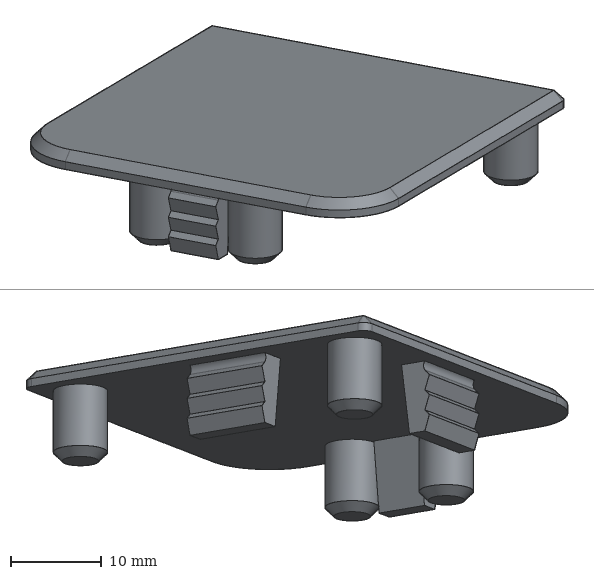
import cadquery as cq

plate_side = 45.5
total_height = 10.0
plate_thickness = 2.0
plate_chamfer = 1.1
front_corner_radius = 7.5
rear_corner_radius = 1.15
plate_bottom = total_height - plate_thickness

pin_diameter = 6.0
pin_chamfer = 1.0
pin_edge_offset = 18.15
front_pin_offset = 6.25

tip_depth = 1.45
notch_depth = 2.05
neck_depth = 2.25
root_inner_depth = 5.15
foot_inner_depth = 4.1
tooth_count = 3
tooth_pitch = 2.28
first_tip_height = 1.8
tooth_upper_flank = 0.6
front_clip_width = 6.0
wide_clip_width = 9.9
wide_clip_shift = 3.0


def make_plate():
    """Square plate with two large front corners and a chamfered upper rim."""
    plate = (
        cq.Workplane("XY")
        .workplane(offset=plate_bottom)
        .rect(plate_side, plate_side)
        .extrude(plate_thickness)
    )
    plate = plate.edges("|Z and <Y").fillet(front_corner_radius)
    plate = plate.edges("|Z and >Y").fillet(rear_corner_radius)
    return plate.faces(">Z").chamfer(plate_chamfer)


def make_pins():
    """Two pins near the rear corners and a closer pair beside the front clip."""
    centers = []
    for side in (-1, 1):
        centers.append((side * pin_edge_offset, pin_edge_offset))
        centers.append((side * front_pin_offset, -pin_edge_offset))
    return (
        cq.Workplane("XY")
        .pushPoints(centers)
        .circle(pin_diameter / 2)
        .extrude(plate_bottom)
        .faces("<Z")
        .chamfer(pin_chamfer)
    )


def make_clip(width, shift, angle):
    """Toothed clip on the front edge, shifted along it, then turned about Z."""
    front = -plate_side / 2
    profile = cq.Workplane("YZ").moveTo(front + notch_depth, 0)
    for tooth in range(tooth_count):
        tip_height = first_tip_height + tooth * tooth_pitch
        notch_height = tip_height + tooth_upper_flank
        profile = profile.lineTo(front + tip_depth, tip_height)
        profile = profile.lineTo(front + notch_depth, notch_height)
    neck_height = (notch_height + plate_bottom) / 2
    profile = profile.threePointArc(
        (front + neck_depth, neck_height), (front + notch_depth, plate_bottom)
    )
    profile = (
        profile.lineTo(front + root_inner_depth, plate_bottom)
        .lineTo(front + foot_inner_depth, 0)
        .close()
    )
    clip = profile.extrude(width / 2, both=True).translate((shift, 0, 0))
    return clip.rotate((0, 0, 0), (0, 0, 1), angle)


front_clip = make_clip(front_clip_width, 0, 0)
left_clip = make_clip(wide_clip_width, -wide_clip_shift, -90)
rear_clip = make_clip(wide_clip_width, wide_clip_shift, 180)

result = make_plate().union(make_pins())
for snap_clip in (front_clip, left_clip, rear_clip):
    result = result.union(snap_clip)